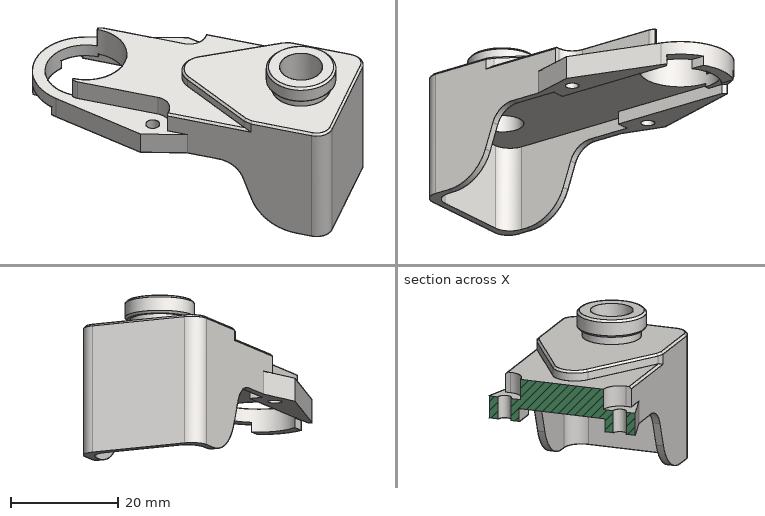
import cadquery as cq
import math

LEG_BOTTOM = -14.15
NOTCH_ROOF = 1.8
CHANNEL_ROOF = 2.5
PLATE_TOP = 4.4
DECK_TOP = 8.35
PAD_TOP = 10.3
COLLAR_BOTTOM = 11.9
BOSS_TOP = 15.3

RING_RADIUS = 10.0
RING_HOLE_DIAMETER = 15.2
RING_X = RING_RADIUS
EAR_TIP_X = 25.2
EAR_HALF_WIDTH = 15.0
EAR_END_X = 33.7
EAR_HOLE_DIAMETER = 2.55
EAR_HOLE_X = 26.55
EAR_HOLE_Y = 11.5
NOTCH_END_X = 5.3
CENTRE_TOOTH_WIDTH = 9.0

BODY_LENGTH = 60.9
BODY_WIDTH = 25.15
BODY_HALF_WIDTH = BODY_WIDTH / 2
CORNER_RADIUS = 3.05
EDGE_CHAMFER = 0.4
NECK_START_X = 9.8
NECK_HALF_WIDTH = 8.35
NECK_START_HALF_WIDTH = 8.0
NECK_CURVE_RADIUS = 1.95
EAR_RELIEF_RADIUS = EAR_HOLE_Y - NECK_HALF_WIDTH
BODY_START_X = EAR_HOLE_X + EAR_RELIEF_RADIUS

LEG_ARC_START_X = 39.8
LEG_ARC_END_X = 54.75
LEG_UPPER_RADIUS = 4.95
LEG_LOWER_RADIUS = 9.15
LEG_ANGLE = math.radians(70)

PAD_NOSE_X = 28.9
PAD_NOSE_RADIUS = 4.15
PAD_ANGLE = math.radians(32)
PAD_SHOULDER_Y = BODY_HALF_WIDTH - 0.5
PAD_END_X = 46.0

BOSS_X = 51.9
COLLAR_DIAMETER = 13.0
BOSS_NECK_DIAMETER = 11.0
BOSS_HOLE_DIAMETER = 8.0
COLLAR_CHAMFER = 0.4

WALL = 1.45
CAVITY_HALF_WIDTH = BODY_HALF_WIDTH - WALL
CAVITY_CORNER_RADIUS = 3.5
CHANNEL_HALF_WIDTH = 8.5
CAVITY_BOTTOM = LEG_BOTTOM - 0.6


def cylinder(x, y, diameter, bottom, top):
    """Vertical cylinder between two heights."""
    disc = cq.Workplane("XY", origin=(x, y, bottom)).circle(diameter / 2)
    return disc.extrude(top - bottom)


def box(x_start, x_end, y_start, y_end, bottom, top):
    """Axis-aligned block given by its limits."""
    size = (x_end - x_start, y_end - y_start, top - bottom)
    return cq.Workplane("XY", origin=(x_start, y_start, bottom)).box(*size, centered=False)


def ring_plate():
    """Ring whose tangent sides widen to the two ears."""
    reach = EAR_TIP_X - RING_X
    ear_distance = math.hypot(reach, EAR_HALF_WIDTH)
    tangent_angle = math.atan2(EAR_HALF_WIDTH, reach) + math.acos(RING_RADIUS / ear_distance)
    tangent_x = RING_X + RING_RADIUS * math.cos(tangent_angle)
    tangent_y = RING_RADIUS * math.sin(tangent_angle)
    return (
        cq.Workplane("XY")
        .moveTo(tangent_x, tangent_y)
        .lineTo(EAR_TIP_X, EAR_HALF_WIDTH)
        .lineTo(EAR_END_X, BODY_HALF_WIDTH)
        .lineTo(EAR_END_X, -BODY_HALF_WIDTH)
        .lineTo(EAR_TIP_X, -EAR_HALF_WIDTH)
        .lineTo(tangent_x, -tangent_y)
        .threePointArc((0, 0), (tangent_x, tangent_y))
        .close()
        .extrude(PLATE_TOP)
    )


def side_profile(top):
    """Body and leg seen from the side, extruded across the body width."""
    sine = math.sin(LEG_ANGLE)
    rise = 1 - math.cos(LEG_ANGLE)
    flank_top = (LEG_ARC_START_X + LEG_UPPER_RADIUS * sine, -LEG_UPPER_RADIUS * rise)
    flank_bottom = (LEG_ARC_END_X - LEG_LOWER_RADIUS * sine, LEG_BOTTOM + LEG_LOWER_RADIUS * rise)
    return (
        cq.Workplane("XZ")
        .moveTo(BODY_START_X, 0)
        .lineTo(LEG_ARC_START_X, 0)
        .radiusArc(flank_top, LEG_UPPER_RADIUS)
        .lineTo(*flank_bottom)
        .radiusArc((LEG_ARC_END_X, LEG_BOTTOM), -LEG_LOWER_RADIUS)
        .lineTo(BODY_LENGTH, LEG_BOTTOM)
        .lineTo(BODY_LENGTH, top)
        .lineTo(BODY_START_X, top)
        .close()
        .extrude(BODY_HALF_WIDTH, both=True)
        .edges("|Z and >X")
        .fillet(CORNER_RADIUS)
    )


def neck():
    """Narrow deck between the ring and the body, with curved front corners."""
    drop = NECK_HALF_WIDTH - NECK_START_HALF_WIDTH
    run = math.sqrt(NECK_CURVE_RADIUS**2 - (NECK_CURVE_RADIUS - drop) ** 2)
    curve_end_x = NECK_START_X + run
    return (
        cq.Workplane("XY")
        .moveTo(NECK_START_X, -NECK_START_HALF_WIDTH)
        .lineTo(NECK_START_X, NECK_START_HALF_WIDTH)
        .radiusArc((curve_end_x, NECK_HALF_WIDTH), NECK_CURVE_RADIUS)
        .lineTo(BODY_START_X, NECK_HALF_WIDTH)
        .lineTo(BODY_START_X, -NECK_HALF_WIDTH)
        .lineTo(curve_end_x, -NECK_HALF_WIDTH)
        .radiusArc((NECK_START_X, -NECK_START_HALF_WIDTH), NECK_CURVE_RADIUS)
        .close()
        .extrude(DECK_TOP)
    )


def ear_relief_corner(side):
    """Deck corner left standing inside the round relief beside an ear hole."""
    near_y, far_y = sorted((side * NECK_HALF_WIDTH, side * EAR_HOLE_Y))
    corner = box(EAR_HOLE_X, BODY_START_X, near_y, far_y, PLATE_TOP, DECK_TOP)
    relief = cylinder(EAR_HOLE_X, side * EAR_HOLE_Y, 2 * EAR_RELIEF_RADIUS, PLATE_TOP, DECK_TOP)
    return corner.cut(relief)


def pad():
    """Raised wedge over the leg, chamfered around its top."""
    nose_centre_x = PAD_NOSE_X + PAD_NOSE_RADIUS
    tangent_x = nose_centre_x - PAD_NOSE_RADIUS * math.sin(PAD_ANGLE)
    tangent_y = PAD_NOSE_RADIUS * math.cos(PAD_ANGLE)
    shoulder_x = tangent_x + (PAD_SHOULDER_Y - tangent_y) / math.tan(PAD_ANGLE)
    outline = (
        cq.Workplane("XY", origin=(0, 0, DECK_TOP - EDGE_CHAMFER))
        .moveTo(tangent_x, tangent_y)
        .lineTo(shoulder_x, PAD_SHOULDER_Y)
        .lineTo(PAD_END_X, BODY_HALF_WIDTH)
        .lineTo(BODY_LENGTH, BODY_HALF_WIDTH)
        .lineTo(BODY_LENGTH, -BODY_HALF_WIDTH)
        .lineTo(PAD_END_X, -BODY_HALF_WIDTH)
        .lineTo(shoulder_x, -PAD_SHOULDER_Y)
        .lineTo(tangent_x, -tangent_y)
        .threePointArc((PAD_NOSE_X, 0), (tangent_x, tangent_y))
        .close()
    )
    wedge = outline.extrude(PAD_TOP - DECK_TOP + EDGE_CHAMFER)
    rounded = wedge.edges("|Z and >X").fillet(CORNER_RADIUS)
    return rounded.faces(">Z").chamfer(EDGE_CHAMFER)


def boss():
    """Round neck carrying a wider collar with chamfered rims."""
    stem = cylinder(BOSS_X, 0, BOSS_NECK_DIAMETER, DECK_TOP, COLLAR_BOTTOM)
    collar = cylinder(BOSS_X, 0, COLLAR_DIAMETER, COLLAR_BOTTOM, BOSS_TOP)
    return stem.union(collar.edges().chamfer(COLLAR_CHAMFER))


def cavity():
    """Hollow of the leg, open below, and the narrower channel leading to the ring."""
    leg_space = box(
        BODY_START_X + WALL, BODY_LENGTH - WALL,
        -CAVITY_HALF_WIDTH, CAVITY_HALF_WIDTH,
        CAVITY_BOTTOM, CHANNEL_ROOF,
    )
    leg_space = leg_space.edges("|Z and >X").fillet(CAVITY_CORNER_RADIUS)
    channel = box(
        RING_X, BOSS_X, -CHANNEL_HALF_WIDTH, CHANNEL_HALF_WIDTH, CAVITY_BOTTOM, CHANNEL_ROOF
    )
    return leg_space.union(channel)


def ring_notches():
    """Space under the front of the ring on both sides of the centre tooth, with 45 degree ends."""
    slanted_end_x = NOTCH_END_X + RING_RADIUS - CHANNEL_HALF_WIDTH
    mouth_corners = [
        (0, RING_RADIUS),
        (NOTCH_END_X, RING_RADIUS),
        (slanted_end_x, CHANNEL_HALF_WIDTH),
        (RING_X, CHANNEL_HALF_WIDTH),
        (RING_X, -CHANNEL_HALF_WIDTH),
        (slanted_end_x, -CHANNEL_HALF_WIDTH),
        (NOTCH_END_X, -RING_RADIUS),
        (0, -RING_RADIUS),
    ]
    mouth = cq.Workplane("XY").polyline(mouth_corners).close().extrude(NOTCH_ROOF)
    half_tooth = CENTRE_TOOTH_WIDTH / 2
    tooth = box(0, RING_X, -half_tooth, half_tooth, 0, NOTCH_ROOF)
    return mouth.cut(tooth)


deck = side_profile(DECK_TOP).faces(">Z").edges("|X").chamfer(EDGE_CHAMFER)
result = ring_plate().union(neck()).union(deck).union(pad())
for side in (-1, 1):
    result = result.union(ear_relief_corner(side))
result = result.union(boss())

result = result.cut(cavity()).cut(ring_notches())
result = result.cut(cylinder(RING_X, 0, RING_HOLE_DIAMETER, 0, DECK_TOP))
result = result.cut(cylinder(BOSS_X, 0, BOSS_HOLE_DIAMETER, LEG_BOTTOM, BOSS_TOP))
for side in (-1, 1):
    result = result.cut(cylinder(EAR_HOLE_X, side * EAR_HOLE_Y, EAR_HOLE_DIAMETER, 0, PLATE_TOP))